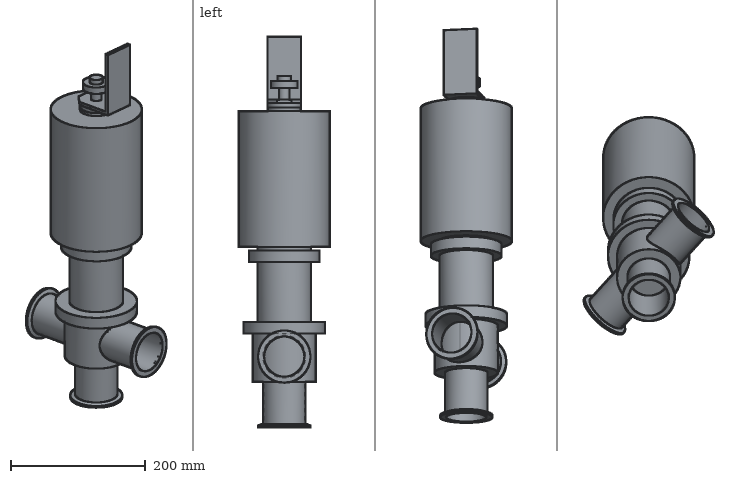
import cadquery as cq

pipe_diameter = 63.5
bore_diameter = 59.5
ferrule_diameter = 77.5
ferrule_rim_thickness = 2.85
ferrule_flank_height = 2.55
side_port_reach = 105.0
side_port_z = 105.0

chamber_diameter = 94.0
chamber_bottom_z = 67.5
chamber_top_z = 139.0
flange_thickness = 17.5
chamber_flange_diameter = 121.0
column_diameter = 80.0
column_flange_diameter = 105.0
column_flange_bottom_z = 245.0
actuator_diameter = 135.5
actuator_bottom_z = 267.5
actuator_top_z = 469.0

neck_diameter = 49.0
neck_height = 5.0
collar_diameter = 50.0
collar_height = 7.0
stem_diameter = 16.0
nut_diameter = 40.0
nut_thickness = 10.5
nut_gap = 17.0
stem_cap_diameter = 19.5
stem_cap_height = 7.5

bracket_thickness = 5.0
bracket_width = collar_diameter
bracket_front_x = -collar_diameter / 2
bracket_back_x = 45.0
bracket_corner_cut = 14.0
bracket_top_z = 579.25

chamber_flange_top_z = chamber_top_z + flange_thickness
collar_bottom_z = actuator_top_z + neck_height
collar_top_z = collar_bottom_z + collar_height
bracket_plate_top_z = collar_top_z + bracket_thickness
nut_bottom_z = bracket_plate_top_z + nut_gap
nut_top_z = nut_bottom_z + nut_thickness


def cylinder(diameter, bottom_z, top_z):
    """Upright cylinder on the Z axis."""
    return cq.Workplane("XY", origin=(0, 0, bottom_z)).circle(diameter / 2).extrude(top_z - bottom_z)


def port_pipe(length):
    """Solid pipe along +Z whose ferrule face lies at Z = 0 and tapers into the pipe."""
    flank_end = ferrule_rim_thickness + ferrule_flank_height
    profile = [
        (0, 0),
        (ferrule_diameter / 2, 0),
        (ferrule_diameter / 2, ferrule_rim_thickness),
        (pipe_diameter / 2, flank_end),
        (pipe_diameter / 2, length),
        (0, length),
    ]
    return cq.Workplane("XZ").polyline(profile).close().revolve(360, (0, 0, 0), (0, 1, 0))


def to_side_port(shape, side):
    """Lay a shape built along +Z down at the -X (side = -1) or +X (side = 1) port."""
    turned = shape.rotate((0, 0, 0), (0, 1, 0), -90 * side)
    return turned.translate((side * side_port_reach, 0, side_port_z))


def make_valve():
    """Ports, chamber, column, actuator and stem as one solid."""
    bottom_port = port_pipe(chamber_bottom_z).cut(cylinder(bore_diameter, 0, chamber_bottom_z))
    chamber = cylinder(chamber_diameter, chamber_bottom_z, chamber_top_z)
    valve = chamber.union(bottom_port)
    side_bore = cylinder(bore_diameter, 0, side_port_reach)
    for side in (-1, 1):
        pipe = to_side_port(port_pipe(side_port_reach), side)
        bore = to_side_port(side_bore, side).cut(chamber)
        valve = valve.union(pipe).cut(bore)

    stack = [
        (chamber_flange_diameter, chamber_top_z, chamber_flange_top_z),
        (column_diameter, chamber_flange_top_z, actuator_bottom_z),
        (column_flange_diameter, column_flange_bottom_z, column_flange_bottom_z + flange_thickness),
        (actuator_diameter, actuator_bottom_z, actuator_top_z),
        (neck_diameter, actuator_top_z, collar_bottom_z),
        (collar_diameter, collar_bottom_z, collar_top_z),
        (stem_diameter, collar_top_z, nut_bottom_z),
        (nut_diameter, nut_bottom_z, nut_top_z),
        (stem_cap_diameter, nut_top_z, nut_top_z + stem_cap_height),
    ]
    for diameter, bottom_z, top_z in stack:
        valve = valve.union(cylinder(diameter, bottom_z, top_z))
    return valve


def make_bracket():
    """L-shaped plate on the collar, with cut front corners and a hole for the stem."""
    plate_length = bracket_back_x - bracket_front_x
    plate = (
        cq.Workplane("XY", origin=(bracket_front_x, 0, collar_top_z))
        .box(plate_length, bracket_width, bracket_thickness, centered=(False, True, False))
        .edges("|Z and <X")
        .chamfer(bracket_corner_cut)
    )
    upright = cq.Workplane("XY", origin=(bracket_back_x - bracket_thickness, 0, collar_top_z)).box(
        bracket_thickness, bracket_width, bracket_top_z - collar_top_z, centered=(False, True, False)
    )
    return plate.union(upright).cut(cylinder(stem_diameter, collar_top_z, bracket_plate_top_z))


valve = make_valve()
bracket = make_bracket()

result = cq.Compound.makeCompound([valve.val(), bracket.val()])